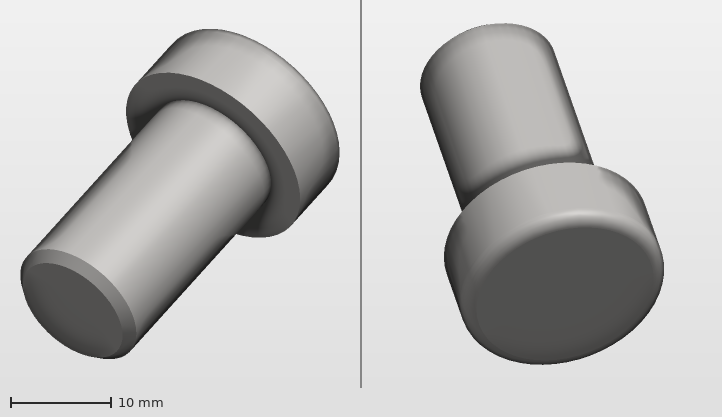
import cadquery as cq

total_length = 33.0
head_diameter = 21.0
head_length = 8.0
head_fillet = 1.4
shank_diameter = 14.0
tip_chamfer = 1.0

shank_length = total_length - head_length


def make_head():
    """Round head seated at Y = 0, with a rounded outer rim."""
    head = cq.Workplane("XZ").circle(head_diameter / 2).extrude(-head_length)
    return head.faces(">Y").edges().fillet(head_fillet)


def make_shank():
    """Plain shank running toward -Y, with a chamfered tip."""
    shank = cq.Workplane("XZ").circle(shank_diameter / 2).extrude(shank_length)
    return shank.faces("<Y").edges().chamfer(tip_chamfer)


result = make_head().union(make_shank())